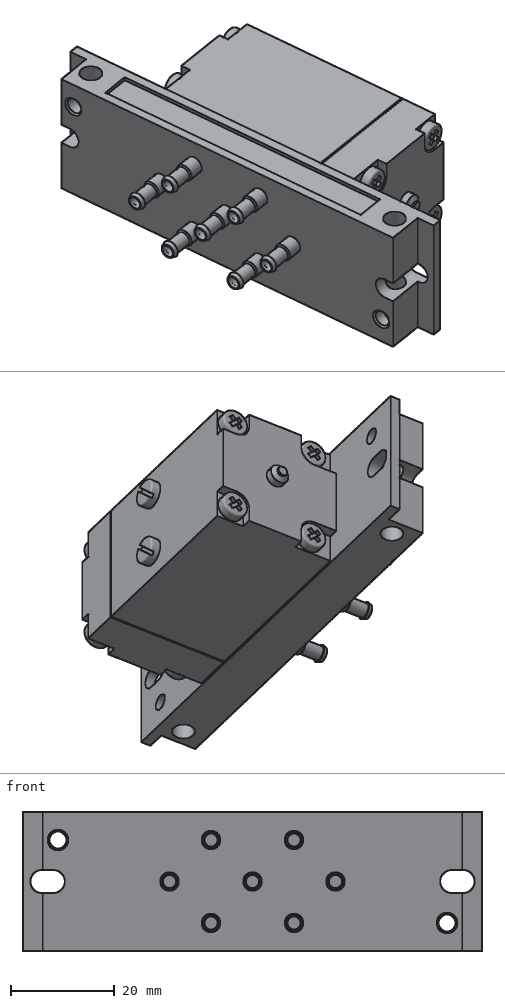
import cadquery as cq


flange_length = 88.5
flange_thickness = 2.1
block_length = 80.8
plate_height = 26.8
plate_thickness = 9.9

slot_width = 4.4
slot_length = 6.6
slot_center_x = 39.5
cross_hole_diameter = 4.4
cross_hole_x = 37.0
cross_hole_y = -5.0
screw_hole_diameter = 3.24
screw_hole_mouth = 4.0
screw_hole_x = 37.5
screw_hole_z = 8.0

recess_length = 62.2
recess_width = 6.1
recess_depth = 0.75
recess_front_margin = 1.85

fitting_pitch = 8.0
fitting_length = 8.4
fitting_diameter = 3.6
fitting_base_length = 3.2
fitting_chamfer = 0.3
fitting_neck_diameter = 3.0
fitting_bore = 2.5
barb_length = 0.9

body_length = 50.0
body_depth = 26.0
body_height = 25.9
cap_length = 10.0
cap_gap_width = 0.25
cap_gap_depth = 0.25

head_diameter = 5.5
head_height = 2.0
head_edge_radius = 0.35

pocket_depth = 2.1
pocket_radius = 3.0
cap_screw_z = 10.0
cap_screw_front_y = 5.0
cap_screw_rear_y = 23.0
cross_length = 3.0
cross_width = 0.9
cross_depth = 0.8

rear_screw_z = 7.0
rear_slot_width = 0.8
rear_slot_depth = 0.8

pin_y = 14.0
pin_diameter = 4.0
pin_shoulder = 1.55
pin_cone_length = 0.7
pin_tip_diameter = 2.0
pin_length = 2.7


def box_between(x_range, y_range, z_range):
    """Axis-aligned box spanning the given (low, high) ranges."""
    size = [high - low for low, high in (x_range, y_range, z_range)]
    corner = (x_range[0], y_range[0], z_range[0])
    return cq.Workplane("XY").box(*size, centered=False).translate(corner)


def cylinder(base, direction, diameter, length):
    """Cylinder that starts at base and runs along direction."""
    solid = cq.Solid.makeCylinder(diameter / 2, length, cq.Vector(*base), cq.Vector(*direction))
    return cq.Workplane(obj=solid)


def screw_head(arm_length, arm_width, arm_depth, arm_angles):
    """Round head standing on Z = 0, with one driver slot cut along each given angle."""
    head = cq.Workplane("XY").circle(head_diameter / 2).extrude(head_height)
    head = head.faces(">Z").edges().fillet(head_edge_radius)
    for angle in arm_angles:
        arm = (
            cq.Workplane("XY")
            .rect(arm_length, arm_width)
            .extrude(arm_depth)
            .rotate((0, 0, 0), (0, 0, 1), angle)
            .translate((0, 0, head_height - arm_depth))
        )
        head = head.cut(arm)
    return head


def make_plate():
    flange = box_between(
        (-flange_length / 2, flange_length / 2),
        (-flange_thickness, 0),
        (-plate_height / 2, plate_height / 2),
    )
    block = box_between(
        (-block_length / 2, block_length / 2),
        (-plate_thickness, 0),
        (-plate_height / 2, plate_height / 2),
    )
    plate = flange.union(block)

    for side in (-1, 1):
        slot = (
            cq.Workplane("XZ")
            .center(side * slot_center_x, 0)
            .slot2D(slot_length, slot_width)
            .extrude(plate_thickness)
        )
        cross_hole = cylinder(
            (side * cross_hole_x, cross_hole_y, -plate_height / 2),
            (0, 0, 1),
            cross_hole_diameter,
            plate_height,
        )
        plate = plate.cut(slot).cut(cross_hole).cut(make_screw_hole(side))

    recess_front = -plate_thickness + recess_front_margin
    recess = box_between(
        (-recess_length / 2, recess_length / 2),
        (recess_front, recess_front + recess_width),
        (plate_height / 2 - recess_depth, plate_height / 2),
    )
    return plate.cut(recess)


def make_screw_hole(side):
    """Through hole with a chamfered mouth; the two holes sit on a diagonal."""
    mouth_radius = screw_hole_mouth / 2
    hole_radius = screw_hole_diameter / 2
    mouth_y = -plate_thickness
    mouth_end_y = mouth_y + mouth_radius - hole_radius
    profile = (
        cq.Workplane("XY")
        .moveTo(0, mouth_y)
        .lineTo(mouth_radius, mouth_y)
        .lineTo(hole_radius, mouth_end_y)
        .lineTo(hole_radius, 0)
        .lineTo(0, 0)
        .close()
    )
    hole = profile.revolve(360, (0, 0, 0), (0, 1, 0))
    return hole.translate((side * screw_hole_x, 0, -side * screw_hole_z))


def make_fitting():
    """Barbed tube fitting with its base on the origin, pointing to -Y."""
    barb_start = fitting_length - barb_length
    profile = (
        cq.Workplane("XY")
        .moveTo(0, 0)
        .lineTo(fitting_diameter / 2, 0)
        .lineTo(fitting_diameter / 2, -fitting_base_length)
        .lineTo(fitting_neck_diameter / 2, -fitting_base_length - fitting_chamfer)
        .lineTo(fitting_neck_diameter / 2, -barb_start)
        .lineTo(fitting_diameter / 2, -barb_start)
        .lineTo(fitting_neck_diameter / 2, -fitting_length)
        .lineTo(0, -fitting_length)
        .close()
    )
    fitting = profile.revolve(360, (0, 0, 0), (0, 1, 0))
    bore = cylinder((0, -fitting_length, 0), (0, 1, 0), fitting_bore, fitting_length)
    return fitting.cut(bore)


def add_fittings(part):
    """Middle row of three fittings between an upper and a lower row of two."""
    columns = [(2 * i, 0) for i in (-1, 0, 1)]
    columns += [(i, k) for i in (-1, 1) for k in (-1, 1)]
    fitting = make_fitting()
    for column, row in columns:
        place = (column * fitting_pitch, -plate_thickness, row * fitting_pitch)
        part = part.union(fitting.translate(place))
    return part


def make_pocket(screw_y, edge_y):
    """Upper pocket of the -X cap: round about the screw, open upward and toward edge_y."""
    x_range = (-body_length / 2, -body_length / 2 + pocket_depth)
    toward_edge = 1 if edge_y > screw_y else -1
    round_side_y = screw_y - toward_edge * pocket_radius
    round_part = cylinder((x_range[0], screw_y, cap_screw_z), (1, 0, 0), 2 * pocket_radius, pocket_depth)
    y_range = sorted((screw_y, edge_y))
    edge_part = box_between(x_range, y_range, (cap_screw_z - pocket_radius, body_height / 2))
    y_range = sorted((round_side_y, edge_y))
    upper_part = box_between(x_range, y_range, (cap_screw_z, body_height / 2))
    return round_part.union(edge_part).union(upper_part)


def make_cap_gap():
    """Narrow gap between the +X cap and the middle section, shallow all around the body."""
    cap_start_x = body_length / 2 - cap_length
    x_range = (cap_start_x - cap_gap_width, cap_start_x)
    inner_z = body_height / 2 - cap_gap_depth
    outside = box_between(x_range, (0, body_depth), (-body_height / 2, body_height / 2))
    core = box_between(x_range, (0, body_depth - cap_gap_depth), (-inner_z, inner_z))
    return outside.cut(core)


def make_body():
    body = box_between(
        (-body_length / 2, body_length / 2),
        (0, body_depth),
        (-body_height / 2, body_height / 2),
    )
    body = body.cut(make_cap_gap())

    head = screw_head(cross_length, cross_width, cross_depth, (45, 135))
    head = head.rotate((0, 0, 0), (0, 1, 0), -90)
    head_base_x = -body_length / 2 + pocket_depth
    for screw_y, edge_y in (
        (cap_screw_front_y, 0),
        (cap_screw_rear_y, body_depth),
    ):
        pocket = make_pocket(screw_y, edge_y)
        placed_head = head.translate((head_base_x, screw_y, cap_screw_z))
        for mirror_planes in ((), ("XY",), ("YZ",), ("XY", "YZ")):
            cutter = pocket
            screw = placed_head
            for plane in mirror_planes:
                cutter = cutter.mirror(plane)
                screw = screw.mirror(plane)
            body = body.cut(cutter).union(screw)
    return body


def add_rear_screws(part):
    """Two slotted heads; the slots run all the way across, at 45 degrees."""
    head = screw_head(head_diameter, rear_slot_width, rear_slot_depth, (-45,))
    head = head.rotate((0, 0, 0), (1, 0, 0), -90)
    for side in (-1, 1):
        part = part.union(head.translate((0, body_depth, side * rear_screw_z)))
    return part


def add_pins(part):
    profile = (
        cq.Workplane("XY")
        .moveTo(0, 0)
        .lineTo(0, pin_diameter / 2)
        .lineTo(pin_shoulder, pin_diameter / 2)
        .lineTo(pin_shoulder + pin_cone_length, pin_tip_diameter / 2)
        .lineTo(pin_length, pin_tip_diameter / 2)
        .lineTo(pin_length, 0)
        .close()
    )
    pin = profile.revolve(360, (0, 0, 0), (1, 0, 0)).translate((body_length / 2, pin_y, 0))
    return part.union(pin).union(pin.mirror("YZ"))


result = make_plate().union(make_body())
result = add_rear_screws(result)
result = add_pins(result)
result = add_fittings(result)